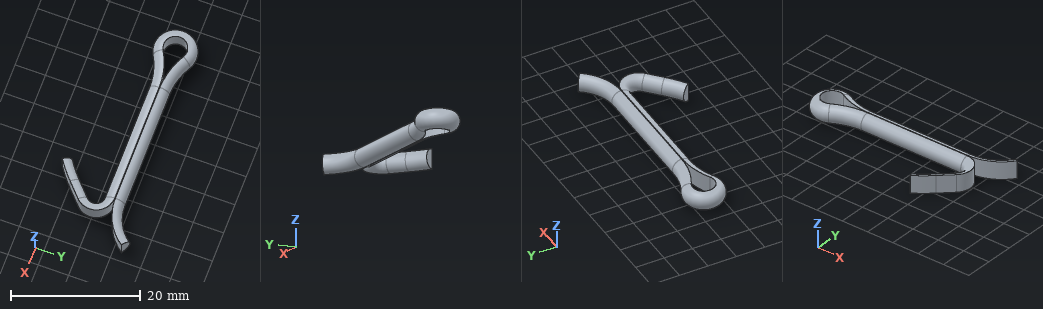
import cadquery as cq
import math

wire_radius = 1.635
leg_gap = 0.09

eye_inner_radius = 1.9
eye_end_angle = 60.5

leg_end_x = 26.75
upper_bend_radius = 8.55
upper_bend_angle = 54.5
hook_radius = 3.05
hook_angle = 137.0
tail_straight = 3.2
tail_bend_radius = 24.0
tail_bend_angle = 9.5

face_y = leg_gap / 2
eye_end = math.radians(eye_end_angle)
neck_turn = math.pi / 2 - eye_end
neck_start_x = eye_inner_radius * math.cos(eye_end)
neck_start_y = eye_inner_radius * math.sin(eye_end)
neck_radius = (neck_start_y - face_y) / (1 - math.cos(neck_turn))
leg_start_x = neck_start_x + neck_radius * math.sin(neck_turn)

upper_center = (leg_end_x, face_y + upper_bend_radius)
upper_tip_angle = math.radians(upper_bend_angle - 90)


def polar(center, radius, angle):
    """Point at the given angle (radians) on a circle."""
    return (center[0] + radius * math.cos(angle), center[1] + radius * math.sin(angle))


def add_bend(path, center, radius, start, end):
    """Extend the path by an arc running from the start angle to the end angle."""
    middle = polar(center, radius, (start + end) / 2)
    return path.threePointArc(middle, polar(center, radius, end))


def flat_face_path():
    """Path of the flat face's centre line, from the upper tip round the eye to the tail tip."""
    hook_end = math.pi / 2 - math.radians(hook_angle)
    tail_turn = math.radians(tail_bend_angle)

    upper_neck_center = (leg_start_x, face_y + neck_radius)
    lower_neck_center = (leg_start_x, -face_y - neck_radius)
    hook_center = (leg_end_x, -face_y - hook_radius)
    hook_end_point = polar(hook_center, hook_radius, hook_end)
    tail_bend_start = polar(hook_end_point, tail_straight, hook_end - math.pi / 2)
    tail_bend_center = polar(tail_bend_start, tail_bend_radius, hook_end + math.pi)

    down = -math.pi / 2
    up = math.pi / 2

    path = cq.Workplane("XY").moveTo(*polar(upper_center, upper_bend_radius, upper_tip_angle))
    path = add_bend(path, upper_center, upper_bend_radius, upper_tip_angle, down)
    path = path.lineTo(leg_start_x, face_y)
    path = add_bend(path, upper_neck_center, neck_radius, down, down - neck_turn)
    path = add_bend(path, (0, 0), eye_inner_radius, eye_end, 2 * math.pi - eye_end)
    path = add_bend(path, lower_neck_center, neck_radius, up + neck_turn, up)
    path = path.lineTo(leg_end_x, -face_y)
    path = add_bend(path, hook_center, hook_radius, up, hook_end)
    path = path.lineTo(*tail_bend_start)
    return add_bend(path, tail_bend_center, tail_bend_radius, hook_end, hook_end - tail_turn)


def wire_section():
    """Half-round section across the upper tip, with its round side away from the flat face."""
    tip = polar(upper_center, upper_bend_radius, upper_tip_angle)
    outward = polar((0, 0), 1, upper_tip_angle + math.pi)
    along = polar((0, 0), 1, upper_tip_angle + math.pi / 2)
    plane = cq.Plane(origin=(*tip, 0), xDir=(*outward, 0), normal=(*along, 0))
    return (
        cq.Workplane(plane)
        .moveTo(0, -wire_radius)
        .threePointArc((wire_radius, 0), (0, wire_radius))
        .close()
    )


result = wire_section().sweep(flat_face_path())